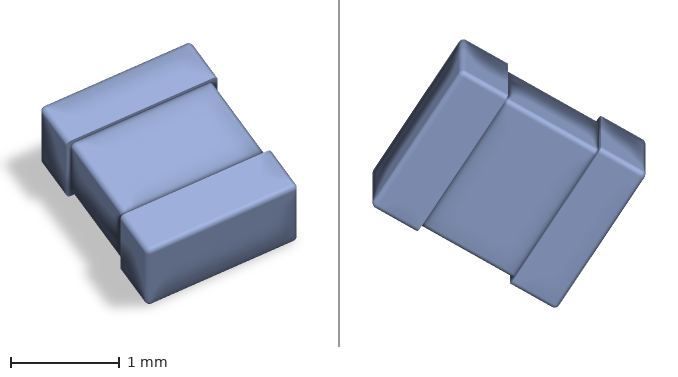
import cadquery as cq

length = 2.0
width = 1.6
height = 0.8

terminal_length = 0.5
core_inset = 0.05
edge_radius = 0.05

core_length = length - 2 * terminal_length
core_width = width - 2 * core_inset
core_height = height - 2 * core_inset


def make_core():
    """Ceramic block between the terminals, rounded along its length."""
    block = cq.Workplane("XY").box(core_length, core_width, core_height)
    return block.edges("|X").fillet(edge_radius)


def make_terminal(side):
    """End terminal on the -X (side = -1) or +X (side = 1) end; only its inner face stays sharp."""
    outer_face = ">X" if side > 0 else "<X"
    center_x = side * (length - terminal_length) / 2
    block = cq.Workplane("XY").box(terminal_length, width, height)
    rounded = block.edges(f"|X or {outer_face}").fillet(edge_radius)
    return rounded.translate((center_x, 0, 0))


core = make_core()
terminals = [make_terminal(side) for side in (-1, 1)]

result = cq.Compound.makeCompound([core.val(), *[terminal.val() for terminal in terminals]])